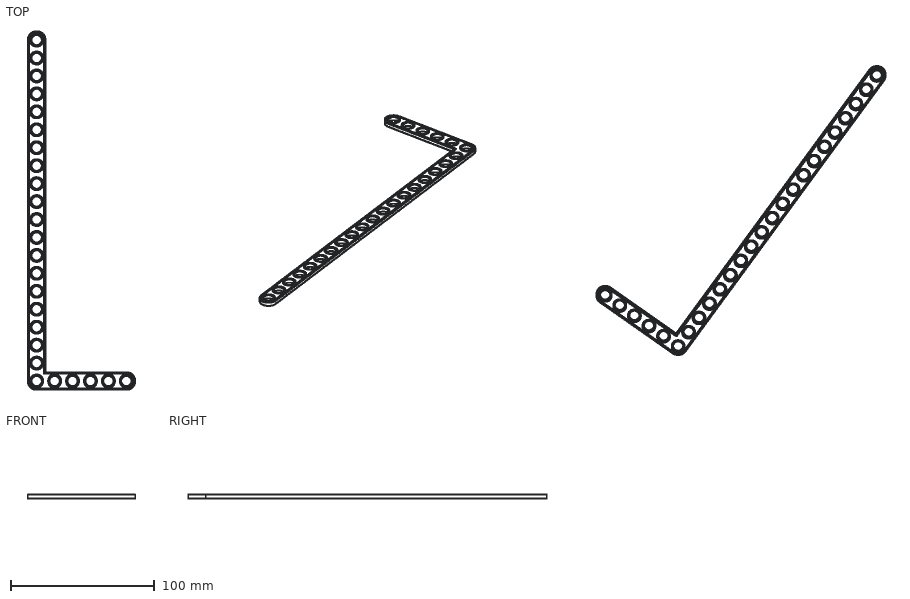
import cadquery as cq

pitch = 12.5
long_arm_holes = 20
short_arm_holes = 6
hole_diameter = 7.0
collar_diameter = 9.2
recess_depth = 0.2
edge_chamfer = 0.3

arm_width = pitch
thickness = pitch / 4
lip_width = (collar_diameter - hole_diameter) / 2
panel_width = arm_width - 2 * lip_width
long_arm_reach = (long_arm_holes - 1) * pitch
short_arm_reach = (short_arm_holes - 1) * pitch

hole_centers = [(0, row * pitch) for row in range(long_arm_holes)]
hole_centers += [(column * pitch, 0) for column in range(1, short_arm_holes)]


def round_ended_bar(reach, width, height):
    """Bar along X with its end arcs centred at X = 0 and X = reach."""
    return cq.Workplane("XY").center(reach / 2, 0).slot2D(reach + width, width).extrude(height)


def angle_plate(width, height):
    """L-shaped plate of two round-ended arms that meet at the corner hole."""
    short_arm = round_ended_bar(short_arm_reach, width, height)
    long_arm = round_ended_bar(long_arm_reach, width, height).rotate((0, 0, 0), (0, 0, 1), 90)
    return short_arm.union(long_arm).clean()


def cylinders(diameter, height):
    """One cylinder standing on Z = 0 at every hole centre."""
    return cq.Workplane("XY").pushPoints(hole_centers).circle(diameter / 2).extrude(height)


plate = angle_plate(arm_width, thickness)
plate = plate.faces("<Z or >Z").edges().chamfer(edge_chamfer)

plate = plate.cut(cylinders(hole_diameter, thickness))
plate = plate.faces("<Z or >Z").edges(cq.selectors.RadiusNthSelector(0)).chamfer(edge_chamfer)

panel = angle_plate(panel_width, recess_depth).cut(cylinders(collar_diameter, recess_depth))
for panel_bottom in (0, thickness - recess_depth):
    plate = plate.cut(panel.translate((0, 0, panel_bottom)))

result = plate